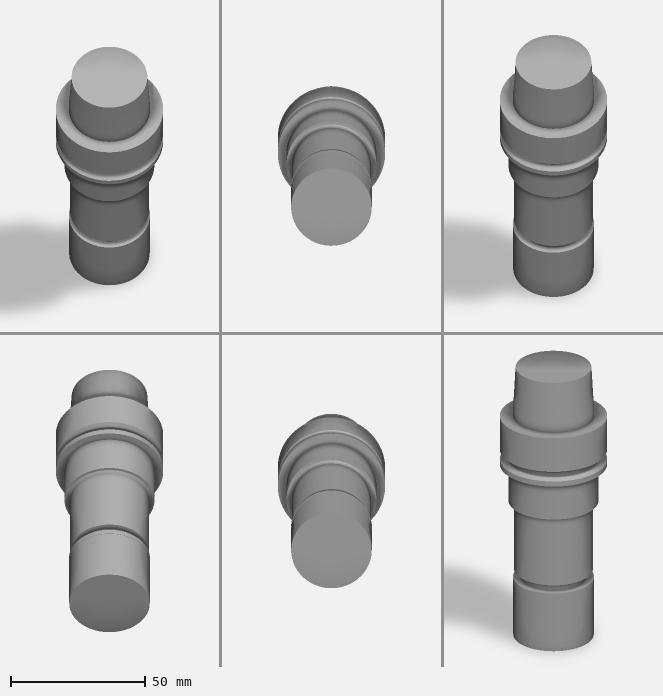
import cadquery as cq

collar_diameter = 40.0
collar_groove_diameter = 34.8
body_diameter = 33.5
neck_diameter = 29.5
nut_groove_diameter = 25.0
nut_diameter = 30.0
nut_rim_diameter = 30.2
taper_top_diameter = 28.3
taper_base_diameter = 30.2

overall_height = 110.0
nut_shoulder_z = 21.8
nut_top_z = 23.8
neck_bottom_z = 27.0
body_bottom_z = 55.0
flange_bottom_z = 70.1
flange_bevel_z = 72.2
collar_groove_bottom_z = 73.0
collar_groove_top_z = 75.1
collar_bevel_z = 76.1
collar_top_z = 90.0
taper_base_z = 92.1

groove_bevel_width = 1.6
neck_bevel = 1.0

groove_lip_diameter = collar_diameter - 2 * groove_bevel_width
neck_cone_diameter = neck_diameter + 2 * neck_bevel


def section(bottom_z, top_z, bottom_diameter, top_diameter=None):
    """Solid cylinder, or cone when a second diameter is given, on the Z axis."""
    if top_diameter is None:
        top_diameter = bottom_diameter
    half_profile = [
        (0, bottom_z),
        (bottom_diameter / 2, bottom_z),
        (top_diameter / 2, top_z),
        (0, top_z),
    ]
    return cq.Workplane("XZ").polyline(half_profile).close().revolve(360, (0, 0), (0, 1))


def clamping_nut():
    nut = section(0, nut_shoulder_z, nut_diameter)
    rim = section(nut_shoulder_z, nut_top_z, nut_rim_diameter)
    return nut.union(rim)


def neck_and_body():
    nut_groove = section(nut_top_z, neck_bottom_z, nut_groove_diameter)
    neck = section(neck_bottom_z, body_bottom_z - neck_bevel, neck_diameter)
    neck_cone = section(body_bottom_z - neck_bevel, body_bottom_z, neck_diameter, neck_cone_diameter)
    body = section(body_bottom_z, flange_bottom_z, body_diameter)
    return nut_groove.union(neck).union(neck_cone).union(body)


def grooved_collar():
    flange = section(flange_bottom_z, flange_bevel_z, collar_diameter)
    flange_bevel = section(flange_bevel_z, collar_groove_bottom_z, collar_diameter, groove_lip_diameter)
    groove = section(collar_groove_bottom_z, collar_groove_top_z, collar_groove_diameter)
    collar_bevel = section(collar_groove_top_z, collar_bevel_z, groove_lip_diameter, collar_diameter)
    collar = section(collar_bevel_z, collar_top_z, collar_diameter)
    return flange.union(flange_bevel).union(groove).union(collar_bevel).union(collar)


def taper_shank():
    base = section(collar_top_z, taper_base_z, taper_base_diameter)
    taper = section(taper_base_z, overall_height, taper_base_diameter, taper_top_diameter)
    return base.union(taper)


result = clamping_nut().union(neck_and_body()).union(grooved_collar()).union(taper_shank())